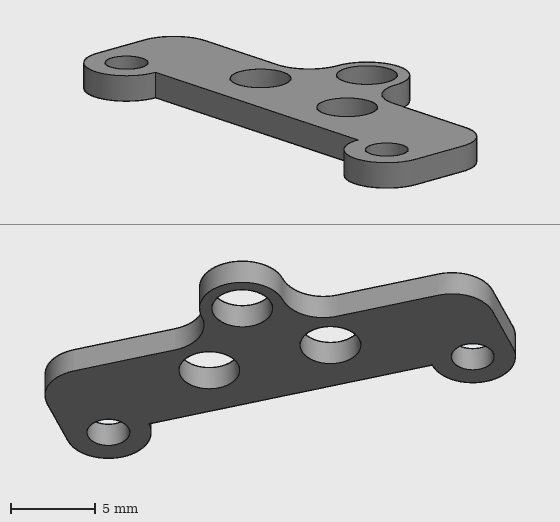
import cadquery as cq
import math

length = 27.95
width = 13.97
thickness = 1.6
round_radius = 2.55
lug_hole_diameter = 2.55
large_hole_diameter = 3.6
large_hole_offset = 3.8

half_length = length / 2
lug_x = half_length - round_radius
lug_inner_x = lug_x - round_radius
boss_y = width - 2 * round_radius
plate_top_y = boss_y - round_radius
corner_y = plate_top_y - round_radius
blend_x = 2 * round_radius
diagonal = round_radius * math.sqrt(0.5)


def plate_outline():
    """Plate with two lower lugs, rounded top corners and a blended boss."""
    return (
        cq.Workplane("XY")
        .moveTo(-lug_inner_x, 0)
        .lineTo(lug_inner_x, 0)
        .threePointArc((lug_x, -round_radius), (half_length, 0))
        .lineTo(half_length, corner_y)
        .threePointArc((lug_x + diagonal, corner_y + diagonal), (lug_x, plate_top_y))
        .lineTo(blend_x, plate_top_y)
        .threePointArc((blend_x - diagonal, boss_y - diagonal), (round_radius, boss_y))
        .threePointArc((0, boss_y + round_radius), (-round_radius, boss_y))
        .threePointArc((diagonal - blend_x, boss_y - diagonal), (-blend_x, plate_top_y))
        .lineTo(-lug_x, plate_top_y)
        .threePointArc((-lug_x - diagonal, corner_y + diagonal), (-half_length, corner_y))
        .lineTo(-half_length, 0)
        .threePointArc((-lug_x, -round_radius), (-lug_inner_x, 0))
        .close()
    )


def hole_cutter(centers, diameter):
    return cq.Workplane("XY").pushPoints(centers).circle(diameter / 2).extrude(thickness)


lug_holes = [(-lug_x, 0), (lug_x, 0)]
large_holes = [(0, boss_y), (-large_hole_offset, corner_y), (large_hole_offset, corner_y)]

result = (
    plate_outline()
    .extrude(thickness)
    .cut(hole_cutter(lug_holes, lug_hole_diameter))
    .cut(hole_cutter(large_holes, large_hole_diameter))
)